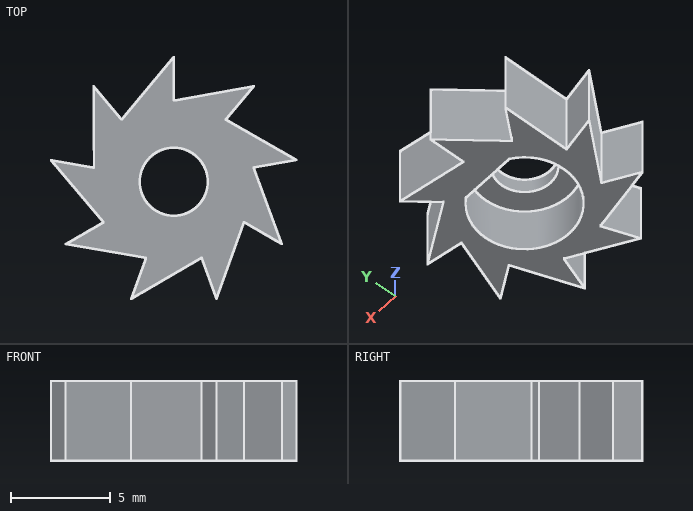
import cadquery as cq
import math

tooth_count = 9
overall_width = 12.31
root_radius = 4.06
bore_diameter = 3.4
thickness = 4.0

roof_thickness = 1.0
recess_radius = 2.95
flat_distance = 2.45

pitch_angle = 360.0 / tooth_count
tip_radius = overall_width / 2 / math.cos(math.radians(pitch_angle / 4))
first_tip_angle = 90.0


def polar_point(radius, angle):
    """Point at a radius and an angle in degrees, counterclockwise from +X."""
    return (radius * math.cos(math.radians(angle)), radius * math.sin(math.radians(angle)))


def toothed_outline():
    """Saw-tooth outline: each tooth has a radial face and a sloping back."""
    points = []
    for tooth in range(tooth_count):
        angle = first_tip_angle - tooth * pitch_angle
        points.append(polar_point(tip_radius, angle))
        points.append(polar_point(root_radius, angle))
    return points


def flatted_recess():
    """D-shaped pocket below the roof: one flat parallel to X, closed by a round arc."""
    flat_half_length = math.sqrt(recess_radius**2 - flat_distance**2)
    return (
        cq.Workplane("XY")
        .moveTo(flat_half_length, flat_distance)
        .lineTo(-flat_half_length, flat_distance)
        .threePointArc((0, -recess_radius), (flat_half_length, flat_distance))
        .close()
        .extrude(thickness - roof_thickness)
    )


wheel = cq.Workplane("XY").polyline(toothed_outline()).close().extrude(thickness)
bore = cq.Workplane("XY").circle(bore_diameter / 2).extrude(thickness)

result = wheel.cut(bore).cut(flatted_recess())